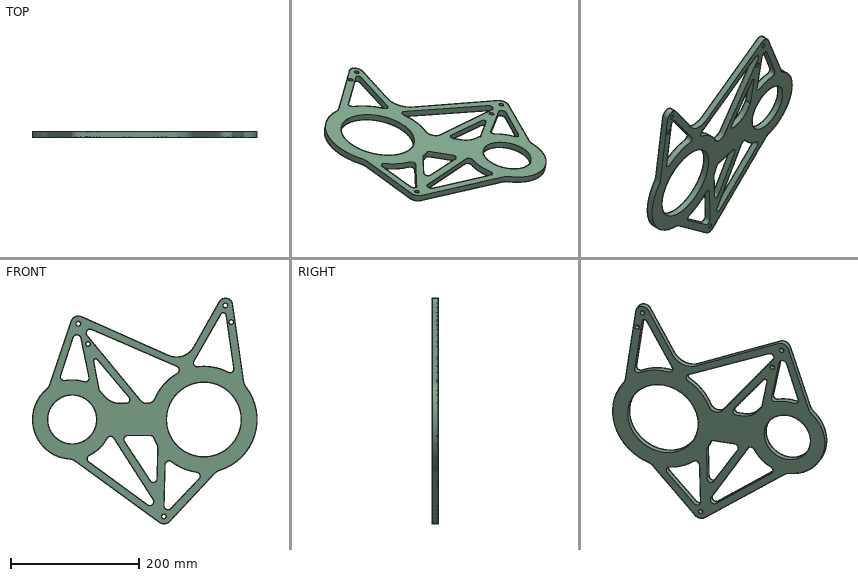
import cadquery as cq

thickness = 10.0
ring_spacing = 204.8
small_bore_radius = 38.0
small_ring_radius = 62.0
large_bore_radius = 58.0
large_ring_radius = 83.0
pin_hole_radius = 3.5
web_top = 25.3
web_bottom = -25.0

small_center = (0, 0)
large_center = (ring_spacing, 0)
pin_holes = [
    (9.5, 149.0),
    (24.5, 117.5),
    (238.2, 177.5),
    (247.5, 151.5),
    (142.5, -150.7),
]

left_tip = (2.5, 165.5)
valley = (175.3, 88.5)
right_tip = (245.0, 212.0)
bottom_tip = (144.5, -166.5)
frame_corners = [
    left_tip,
    valley,
    right_tip,
    (271.0, 30.2),
    (249.0, -54.5),
    bottom_tip,
    (-28.8, -40.5),
    (-43.2, 30.2),
]
tip_radius = 12.3
right_tip_radius = 11.2
valley_radius = 31.0

ring_blend_radius = 17.5
ring_blends = [(-33.0, 52.7), (268.5, 52.7), (221.5, -81.0), (1.5, -62.0)]

small_corner_radius = 5.5
window_corner_radius = 6.0
left_apex_radius = 6.3
right_apex_radius = 4.2
sliver_tip_radius = 3.0
sliver_bend_radius = 31.5
trough_radius = 12.3
windows = [
    (
        [(8.8, 150.0), (30.2, 44.3), (-25.5, 44.3)],
        [
            ((8.8, 150.0), left_apex_radius),
            ((27.0, 55.5), small_corner_radius),
            ((-20.0, 58.5), small_corner_radius),
        ],
    ),
    (
        [(31.3, 102.5), (96.0, web_top), (46.0, web_top)],
        [
            ((31.3, 102.5), sliver_tip_radius),
            ((96.0, web_top), small_corner_radius),
            ((46.0, web_top), sliver_bend_radius),
        ],
    ),
    (
        [(7.7, 149.5), (186.2, 72.5), (175.5, web_top), (110.0, web_top)],
        [
            ((7.7, 149.5), window_corner_radius),
            ((171.8, 77.3), window_corner_radius),
            ((125.8, web_top), trough_radius),
            ((110.0, web_top), trough_radius),
        ],
    ),
    (
        [(237.5, 174.5), (253.5, 63.0), (173.5, 63.0)],
        [
            ((237.5, 174.5), right_apex_radius),
            ((252.5, 67.5), small_corner_radius),
            ((184.5, 80.0), small_corner_radius),
        ],
    ),
    (
        [(143.0, -151.5), (57.0, -17.0), (7.5, -52.5)],
        [
            ((143.0, -151.5), window_corner_radius),
            ((59.0, -19.3), window_corner_radius),
            ((17.5, -59.7), window_corner_radius),
        ],
    ),
    (
        [(131.5, -110.3), (133.5, web_bottom), (75.5, web_bottom)],
        [
            ((131.5, -110.3), small_corner_radius),
            ((125.8, web_bottom), window_corner_radius),
            ((75.5, web_bottom), window_corner_radius),
        ],
    ),
    (
        [(142.5, -149.5), (145.0, -52.5), (217.5, -71.0)],
        [
            ((142.5, -149.5), window_corner_radius),
            ((144.7, -57.3), window_corner_radius),
            ((207.0, -82.5), window_corner_radius),
        ],
    ),
]


def prism(corners):
    return cq.Workplane("XZ").polyline(corners).close().extrude(thickness)


def disc(center, radius):
    return cq.Workplane("XZ").center(*center).circle(radius).extrude(thickness)


def round_corners(body, roundings):
    """Fillet the through-thickness edge nearest to each given corner."""
    for (x, z), radius in roundings:
        nearest = cq.selectors.NearestToPointSelector((x, -thickness / 2, z))
        body = body.edges("|Y").edges(nearest).fillet(radius)
    return body


small_ring = disc(small_center, small_ring_radius)
large_ring = disc(large_center, large_ring_radius)

frame = round_corners(
    prism(frame_corners),
    [
        (left_tip, tip_radius),
        (valley, valley_radius),
        (right_tip, right_tip_radius),
        (bottom_tip, tip_radius),
    ],
)
plate = frame.union(small_ring).union(large_ring)
plate = round_corners(plate, [(place, ring_blend_radius) for place in ring_blends])

for corners, roundings in windows:
    opening = prism(corners).cut(small_ring).cut(large_ring)
    plate = plate.cut(round_corners(opening, roundings))

plate = plate.cut(disc(small_center, small_bore_radius))
plate = plate.cut(disc(large_center, large_bore_radius))
for hole in pin_holes:
    plate = plate.cut(disc(hole, pin_hole_radius))

result = plate